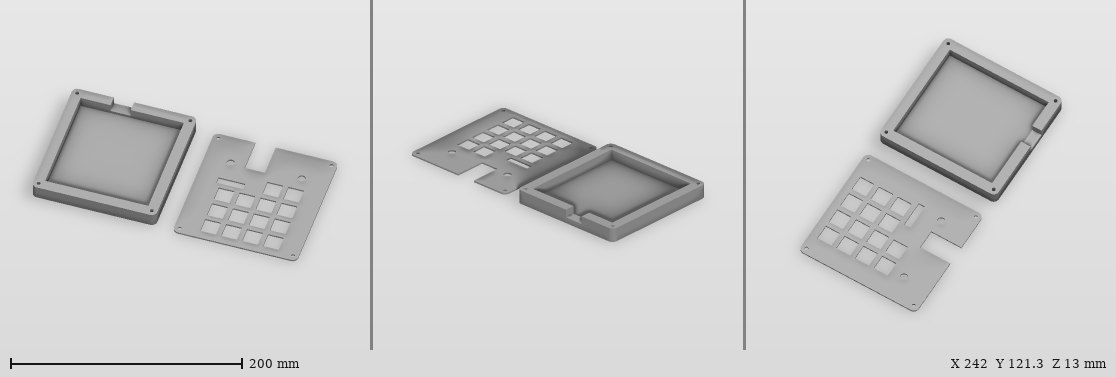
import cadquery as cq

panel_width = 113.0
panel_length = 119.0
corner_radius = 5.0
screw_hole_diameter = 3.5
screw_inset = corner_radius

case_height = 13.0
pocket_width = 94.0
pocket_length = 100.2
side_wall = (panel_width - pocket_width) / 2
end_wall = (panel_length - pocket_length) / 2
pocket_depth = 10.2
cable_notch_width = 18.5
cable_notch_depth = 7.5
cable_notch_left = 36.8

plate_thickness = 1.5
overall_width = 242.0
plate_x = overall_width - panel_width
plate_y = -2.32

plate_notch_width = cable_notch_width
plate_notch_length = 30.5
plate_notch_left = 37.3

key_size = 14.3
key_span = 57.1
key_corner_radius = 0.5
first_key_x = 30.0
first_key_y = 15.0
key_columns = 4
key_rows = 4
key_pitch = key_span / (key_columns - 1)
top_row_first_column = 2

window_width = 24.5
window_length = 6.3
window_left = 19.1
window_front = 64.9
knob_hole_diameter = 7.0
knob_hole_centers = [(24.0, 90.5), (88.0, 92.0)]


def box_from_corner(x, y, z, width, length, height):
    """Box whose lowest left front corner is at (x, y, z)."""
    return cq.Workplane("XY").box(width, length, height, centered=False).translate((x, y, z))


def rounded_panel(thickness):
    """Rounded rectangular slab with a screw hole through each corner."""
    slab = box_from_corner(0, 0, 0, panel_width, panel_length, thickness)
    slab = slab.edges("|Z").fillet(corner_radius)
    screw_centers = [
        (x, y)
        for x in (screw_inset, panel_width - screw_inset)
        for y in (screw_inset, panel_length - screw_inset)
    ]
    return slab.cut(round_cutters(screw_centers, screw_hole_diameter, thickness))


def round_cutters(centers, diameter, height):
    """Vertical cylinders standing on the base plane."""
    return cq.Workplane("XY").pushPoints(centers).circle(diameter / 2).extrude(height)


def key_cutters():
    """Rounded square prisms for all the key openings."""
    centers = []
    for row in range(key_rows):
        first_column = top_row_first_column if row == key_rows - 1 else 0
        for column in range(first_column, key_columns):
            centers.append((first_key_x + column * key_pitch, first_key_y + row * key_pitch))
    keys = cq.Workplane("XY").pushPoints(centers).rect(key_size, key_size).extrude(plate_thickness)
    return keys.edges("|Z").fillet(key_corner_radius)


def make_case():
    """Open-topped tray with a cable notch through its back wall."""
    pocket = box_from_corner(
        side_wall,
        end_wall,
        case_height - pocket_depth,
        pocket_width,
        pocket_length,
        pocket_depth,
    )
    cable_notch = box_from_corner(
        cable_notch_left,
        panel_length - end_wall,
        case_height - cable_notch_depth,
        cable_notch_width,
        end_wall,
        cable_notch_depth,
    )
    return rounded_panel(case_height).cut(pocket).cut(cable_notch)


def make_plate():
    """Cover plate with key openings, a window, two knob holes and a back notch."""
    back_notch = box_from_corner(
        plate_notch_left,
        panel_length - plate_notch_length,
        0,
        plate_notch_width,
        plate_notch_length,
        plate_thickness,
    )
    window = box_from_corner(window_left, window_front, 0, window_width, window_length, plate_thickness)
    knob_holes = round_cutters(knob_hole_centers, knob_hole_diameter, plate_thickness)
    plate = rounded_panel(plate_thickness).cut(back_notch).cut(window).cut(knob_holes).cut(key_cutters())
    return plate.translate((plate_x, plate_y, 0))


case = make_case()
plate = make_plate()

result = cq.Compound.makeCompound([case.solids().val(), plate.solids().val()])